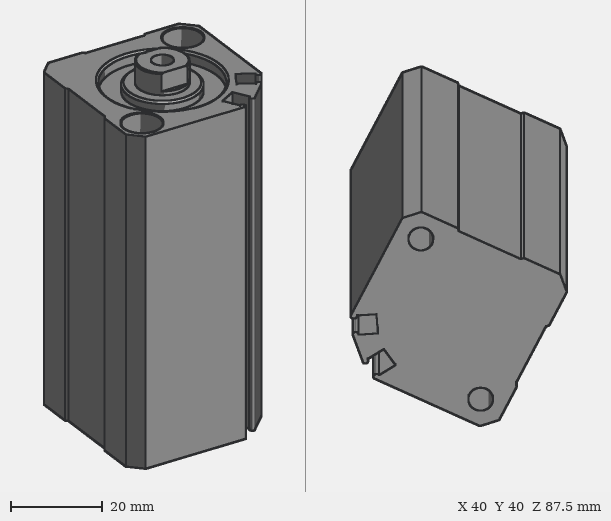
import cadquery as cq
import math

total_height = 87.5
rod_protrusion = 5.0
housing_height = total_height - rod_protrusion
housing_width = 40.0
half_width = housing_width / 2

corner_chamfer = 3.15
slotted_corner_chamfer = 9.6

panel_depth = 0.5
panel_mouth_width = 16.1
panel_floor_width = panel_mouth_width - 2 * panel_depth

slot_angles = (30, 60)
slot_width = 4.55
slot_mouth_width = 3.2
slot_floor_radius = 16.1
slot_lip_radius = 20.4
slot_lip_fillet = 0.5

mount_hole_offset = 14.2
mount_hole_diameter = 5.4
counterbore_diameter = 9.1
counterbore_depth = 7.0
counterbore_chamfer = 0.2

recess_diameter = 28.0
recess_depth = 2.8
recess_chamfer = 0.5
collar_diameter = 18.0
collar_top_gap = 0.5
collar_height = recess_depth - collar_top_gap
collar_chamfer = 0.5

rod_diameter = 12.0
rod_insertion = 26.25
rod_end_chamfer = 0.3
flat_width = 10.0
flat_length = 4.55
rod_bore_diameter = 5.0
rod_bore_depth = 10.5


def make_housing_block():
    """Square prism with three small and one large chamfered vertical edges."""
    block = cq.Workplane("XY").rect(housing_width, housing_width).extrude(housing_height)
    block = block.edges("|Z and (<X or <Y)").chamfer(corner_chamfer)
    return block.edges("|Z and >(1, 1, 0)").chamfer(slotted_corner_chamfer)


def make_panel_cutter():
    """Full-height trapezoid on the -Y face, with 45 degree flanks."""
    floor_y = panel_depth - half_width
    return (
        cq.Workplane("XY")
        .moveTo(-panel_mouth_width / 2, -half_width)
        .lineTo(-panel_floor_width / 2, floor_y)
        .lineTo(panel_floor_width / 2, floor_y)
        .lineTo(panel_mouth_width / 2, -half_width)
        .close()
        .extrude(housing_height)
    )


def make_slot_cutter():
    """Full-height T-slot opening along +X, with a narrower mouth between two lips."""
    wide_part_depth = slot_lip_radius - slot_floor_radius
    mouth_depth = housing_width - slot_floor_radius
    slot_floor = cq.Workplane("XY", origin=(slot_floor_radius, 0, 0))
    wide_part = slot_floor.box(wide_part_depth, slot_width, housing_height, centered=(False, True, False))
    mouth = slot_floor.box(mouth_depth, slot_mouth_width, housing_height, centered=(False, True, False))
    return wide_part.union(mouth)


def round_slot_lips(housing):
    """Round the vertical edges on both sides of each slot mouth."""
    tolerance = 0.01
    lip_edges = []
    for edge in housing.edges("|Z").vals():
        center = edge.Center()
        for angle in slot_angles:
            direction = math.radians(angle)
            outward = center.x * math.cos(direction) + center.y * math.sin(direction)
            sideways = center.y * math.cos(direction) - center.x * math.sin(direction)
            on_mouth_wall = abs(abs(sideways) - slot_mouth_width / 2) < tolerance
            if on_mouth_wall and outward > slot_lip_radius - tolerance:
                lip_edges.append(edge)
    return housing.newObject(lip_edges).fillet(slot_lip_fillet)


def make_rim_cutter(x, y, hole_diameter, chamfer):
    """Cone that chamfers the rim of a round hole in the top face."""
    hole_radius = hole_diameter / 2
    cone_base = cq.Vector(x, y, housing_height - chamfer)
    return cq.Workplane(cq.Solid.makeCone(hole_radius, hole_radius + chamfer, chamfer, pnt=cone_base))


def cut_mounting_holes(housing):
    """Two counterbored through holes, with a fine chamfer on each counterbore rim."""
    positions = [(-mount_hole_offset, mount_hole_offset), (mount_hole_offset, -mount_hole_offset)]
    housing = (
        housing.faces(">Z")
        .workplane(origin=(0, 0, housing_height))
        .pushPoints(positions)
        .cboreHole(mount_hole_diameter, counterbore_diameter, counterbore_depth)
    )
    for x, y in positions:
        housing = housing.cut(make_rim_cutter(x, y, counterbore_diameter, counterbore_chamfer))
    return housing


def make_recess_cutter():
    """Round recess with a chamfered rim, leaving the rod collar standing on its floor."""
    floor_z = housing_height - recess_depth
    recess = cq.Workplane("XY", origin=(0, 0, floor_z)).circle(recess_diameter / 2).extrude(recess_depth)
    rim = make_rim_cutter(0, 0, recess_diameter, recess_chamfer)
    collar = (
        cq.Workplane("XY", origin=(0, 0, floor_z))
        .circle(collar_diameter / 2)
        .extrude(collar_height)
        .faces(">Z")
        .edges()
        .chamfer(collar_chamfer)
    )
    return recess.union(rim).cut(collar)


def make_rod_seat_cutter():
    """Blind bore in the housing that holds the rod."""
    return (
        cq.Workplane("XY", origin=(0, 0, housing_height - rod_insertion))
        .circle(rod_diameter / 2)
        .extrude(rod_insertion)
    )


def make_housing():
    housing = make_housing_block()
    panel = make_panel_cutter()
    for angle in (0, -90):
        housing = housing.cut(panel.rotate((0, 0, 0), (0, 0, 1), angle))
    slot = make_slot_cutter()
    for angle in slot_angles:
        housing = housing.cut(slot.rotate((0, 0, 0), (0, 0, 1), angle))
    housing = round_slot_lips(housing)
    housing = cut_mounting_holes(housing)
    return housing.cut(make_recess_cutter()).cut(make_rod_seat_cutter())


def make_rod():
    """Round rod with two wrench flats and a blind bore in its end."""
    rod = (
        cq.Workplane("XY", origin=(0, 0, housing_height - rod_insertion))
        .circle(rod_diameter / 2)
        .extrude(rod_insertion + rod_protrusion)
        .faces(">Z")
        .edges()
        .chamfer(rod_end_chamfer)
    )
    for side in (-1, 1):
        flat_center_x = side * (flat_width + rod_diameter) / 2
        flat_cutter = cq.Workplane("XY", origin=(flat_center_x, 0, total_height - flat_length)).box(
            rod_diameter, rod_diameter, flat_length, centered=(True, True, False)
        )
        rod = rod.cut(flat_cutter)
    bore = (
        cq.Workplane("XY", origin=(0, 0, total_height))
        .circle(rod_bore_diameter / 2)
        .extrude(-rod_bore_depth)
    )
    return rod.cut(bore)


housing = make_housing()
rod = make_rod()
result = cq.Compound.makeCompound([housing.solids().val(), rod.solids().val()])